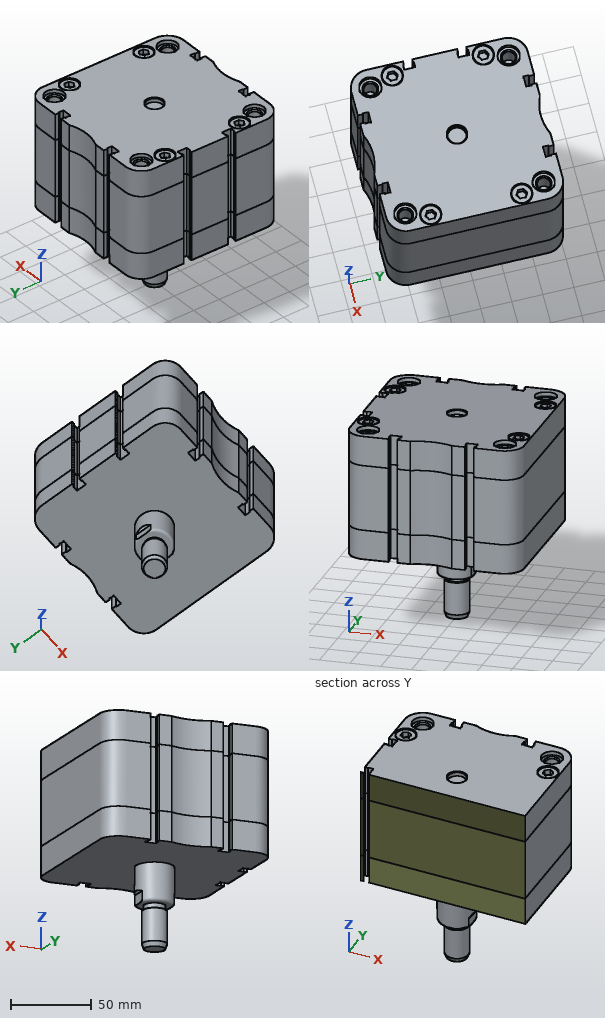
import cadquery as cq
import math

SIDE = 113.5
CORNER_RADIUS = 12.5
TOTAL_HEIGHT = 135.0
CAP_HEIGHT = 19.5
BARREL_HEIGHT = 43.0
BODY_HEIGHT = 2 * CAP_HEIGHT + BARREL_HEIGHT
ROD_LENGTH = TOTAL_HEIGHT - BODY_HEIGHT
HALF_SIDE = SIDE / 2

HOLLOW_WIDTH = 27.0
HOLLOW_DEPTH = 2.8

Y_SLOT_CENTRE = 24.8
Y_SLOT_MOUTH = 6.0
Y_SLOT_CAVITY = 7.2
Y_SLOT_LIP = 3.4
Y_SLOT_DEPTH = 6.9

X_SLOT_CENTRE = 17.4
X_SLOT_MOUTH = 6.0
X_SLOT_CAVITY = 7.0
X_SLOT_LIP = 2.2
X_SLOT_DEPTH = 5.7

CENTRE_HOLE_DIAMETER = 12.0
CENTRE_HOLE_RIM_DIAMETER = 13.1
CENTRE_HOLE_DEPTH = 3.2

CORNER_HOLE_OFFSET = 44.5
CORNER_BORE_DIAMETER = 14.0
CORNER_BORE_DEPTH = 2.7
CORNER_THREAD_DIAMETER = 8.4
CORNER_RIM_DIAMETER = 10.1
CORNER_HOLE_DEPTH = 16.2

SCREW_X = 49.0
SCREW_Y = 29.3
SCREW_RECESS_DIAMETER = 13.5
SCREW_HEAD_DIAMETER = 12.7
SCREW_GROOVE_DEPTH = 0.8
SCREW_SINK = 0.5
HEX_ACROSS_FLATS = 6.0
HEX_DEPTH = 4.0

ROD_DIAMETER = 25.0
ROD_SHOULDER = 25.0
SHOULDER_ROUNDING = 1.8
FLAT_WIDTH = 22.0
FLAT_START = 16.5
NECK_DIAMETER = 14.0
NECK_END = 28.5
THREAD_DIAMETER = 16.0
NECK_CHAMFER_LENGTH = 0.5
TIP_DIAMETER = 13.5
TIP_CHAMFER_LENGTH = 3.2

BARREL_BOTTOM = CAP_HEIGHT
TOP_CAP_BOTTOM = CAP_HEIGHT + BARREL_HEIGHT


def slot(mouth, cavity, lip, depth, height):
    """T-slot cutter opening toward -Y, with its mouth centred on the origin."""
    neck = cq.Workplane("XY").rect(mouth, 2 * depth).extrude(height)
    wide = cq.Workplane("XY").center(0, (lip + depth) / 2).rect(cavity, depth - lip).extrude(height)
    return neck.union(wide)


def profile_block(bottom, height):
    """Length of the outer profile from the height `bottom` up, with its hollows and T-slots."""
    block = cq.Workplane("XY").rect(SIDE, SIDE).extrude(height).edges("|Z").fillet(CORNER_RADIUS)
    hollow = (
        cq.Workplane("XY")
        .moveTo(-HOLLOW_WIDTH / 2, -HALF_SIDE)
        .threePointArc((0, -HALF_SIDE + HOLLOW_DEPTH), (HOLLOW_WIDTH / 2, -HALF_SIDE))
        .close()
        .extrude(height)
    )
    y_slot = slot(Y_SLOT_MOUTH, Y_SLOT_CAVITY, Y_SLOT_LIP, Y_SLOT_DEPTH, height)
    cutters = [hollow] + [y_slot.translate((side * Y_SLOT_CENTRE, -HALF_SIDE, 0)) for side in (-1, 1)]
    for cutter in cutters:
        block = block.cut(cutter).cut(cutter.mirror("XZ"))
    x_slot = slot(X_SLOT_MOUTH, X_SLOT_CAVITY, X_SLOT_LIP, X_SLOT_DEPTH, height)
    x_slot = x_slot.rotate((0, 0, 0), (0, 0, 1), -90)
    for side in (-1, 1):
        block = block.cut(x_slot.translate((-HALF_SIDE, side * X_SLOT_CENTRE, 0)))
    return block.translate((0, 0, bottom))


def chamfered_hole(diameter, rim_diameter, depth):
    """Hole cutter going down from the origin, with a 45 degree countersunk rim."""
    radius = diameter / 2
    rim_radius = rim_diameter / 2
    return (
        cq.Workplane("XZ")
        .polyline([(0, 0), (rim_radius, 0), (radius, radius - rim_radius), (radius, -depth), (0, -depth)])
        .close()
        .revolve(360, (0, 0, 0), (0, 1, 0))
    )


def corner_hole():
    """Counterbore with a countersunk thread hole below it."""
    bore = cq.Workplane("XY").circle(CORNER_BORE_DIAMETER / 2).extrude(-CORNER_BORE_DEPTH)
    thread_depth = CORNER_HOLE_DEPTH - CORNER_BORE_DEPTH
    thread = chamfered_hole(CORNER_THREAD_DIAMETER, CORNER_RIM_DIAMETER, thread_depth)
    return bore.union(thread.translate((0, 0, -CORNER_BORE_DEPTH)))


def screw_head_cut():
    """What is cut away around and inside one sunk socket head."""
    hex_diameter = HEX_ACROSS_FLATS / math.cos(math.pi / 6)
    recess = cq.Workplane("XY").circle(SCREW_RECESS_DIAMETER / 2).extrude(-SCREW_GROOVE_DEPTH)
    head = (
        cq.Workplane("XY", origin=(0, 0, -SCREW_GROOVE_DEPTH))
        .circle(SCREW_HEAD_DIAMETER / 2)
        .extrude(SCREW_GROOVE_DEPTH - SCREW_SINK)
    )
    socket = cq.Workplane("XY").polygon(6, hex_diameter).extrude(-HEX_DEPTH)
    return recess.cut(head).union(socket.rotate((0, 0, 0), (0, 0, 1), 90))


def make_top_cap():
    cap = profile_block(TOP_CAP_BOTTOM, CAP_HEIGHT)
    centre_hole = chamfered_hole(CENTRE_HOLE_DIAMETER, CENTRE_HOLE_RIM_DIAMETER, CENTRE_HOLE_DEPTH)
    cap = cap.cut(centre_hole.translate((0, 0, BODY_HEIGHT)))
    for x_side in (-1, 1):
        for y_side in (-1, 1):
            hole_place = (x_side * CORNER_HOLE_OFFSET, y_side * CORNER_HOLE_OFFSET, BODY_HEIGHT)
            screw_place = (x_side * SCREW_X, y_side * SCREW_Y, BODY_HEIGHT)
            cap = cap.cut(corner_hole().translate(hole_place))
            cap = cap.cut(screw_head_cut().translate(screw_place))
    return cap


def wrench_flat_cut():
    """Cutter for the +X wrench flat, which runs out upward at 45 degrees."""
    rod_radius = ROD_DIAMETER / 2
    flat = FLAT_WIDTH / 2
    runout = rod_radius - flat
    return (
        cq.Workplane("XZ")
        .polyline([
            (flat, -ROD_SHOULDER),
            (flat, -FLAT_START - runout),
            (rod_radius, -FLAT_START),
            (rod_radius, -ROD_SHOULDER),
        ])
        .close()
        .extrude(rod_radius, both=True)
    )


def threaded_end():
    """Neck and threaded stud below the shoulder, with a tapered tip."""
    neck_radius = NECK_DIAMETER / 2
    thread_radius = THREAD_DIAMETER / 2
    tip_radius = TIP_DIAMETER / 2
    outline = [
        (0, -ROD_SHOULDER),
        (neck_radius, -ROD_SHOULDER),
        (neck_radius, NECK_CHAMFER_LENGTH - NECK_END),
        (thread_radius, -NECK_END),
        (thread_radius, TIP_CHAMFER_LENGTH - ROD_LENGTH),
        (tip_radius, -ROD_LENGTH),
        (0, -ROD_LENGTH),
    ]
    return cq.Workplane("XZ").polyline(outline).close().revolve(360, (0, 0, 0), (0, 1, 0))


def make_rod():
    """Rod below the bottom cap: rounded shoulder with two wrench flats and a threaded end."""
    shoulder = cq.Workplane("XY").circle(ROD_DIAMETER / 2).extrude(-ROD_SHOULDER)
    shoulder = shoulder.faces("<Z").edges().fillet(SHOULDER_ROUNDING)
    flat_cut = wrench_flat_cut()
    shoulder = shoulder.cut(flat_cut).cut(flat_cut.mirror("YZ"))
    return shoulder.union(threaded_end())


bottom_cap = profile_block(0, CAP_HEIGHT)
barrel = profile_block(BARREL_BOTTOM, BARREL_HEIGHT)
top_cap = make_top_cap()
rod = make_rod()

result = cq.Compound.makeCompound([bottom_cap.val(), barrel.val(), top_cap.val(), rod.val()])